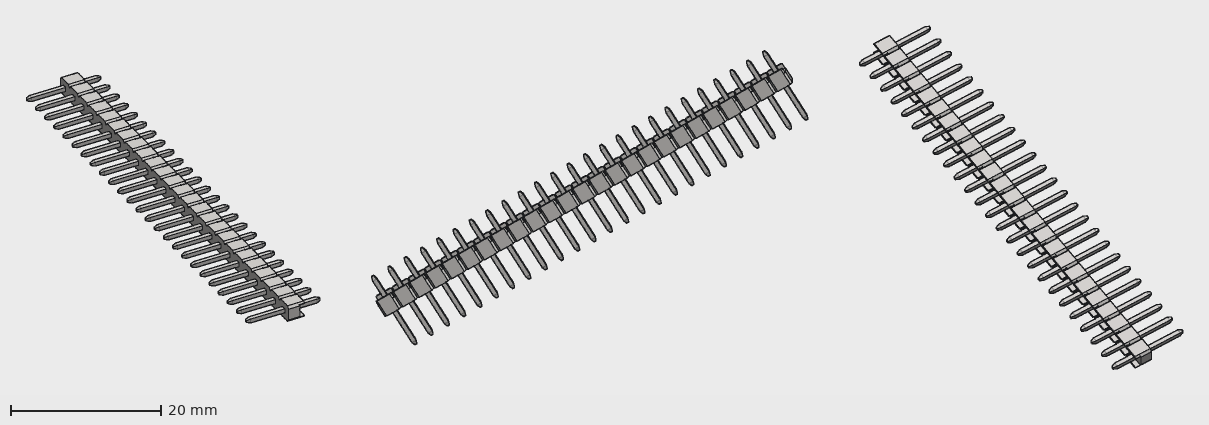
import cadquery as cq

PIN_COUNT = 25
TOTAL_LENGTH = 63.5
PITCH = TOTAL_LENGTH / PIN_COUNT

BODY_HEIGHT = 2.5
BODY_DEPTH = 2.5
CHAMFER_WIDTH = 0.3
CHAMFER_HEIGHT = 0.4

CHANNEL_DEPTH = 0.75
LIP_THICKNESS = 0.285

PIN_WIDTH = 0.65
PIN_TIP_WIDTH = 0.3
PIN_TAPER_LENGTH = 0.54
PIN_OFFSET = -0.1
FRONT_PIN_LENGTH = 5.7
REAR_PIN_LENGTH = 3.0

BODY_REAR = BODY_DEPTH
PIN_FRONT = -FRONT_PIN_LENGTH
PIN_REAR = BODY_REAR + REAR_PIN_LENGTH


def housing_block(x):
    """One pitch of the housing: an eight-sided profile in XZ, extruded along Y."""
    half_width = PITCH / 2
    half_height = BODY_HEIGHT / 2
    flat = half_width - CHAMFER_WIDTH
    side = half_height - CHAMFER_HEIGHT
    profile = [
        (half_width, -side),
        (half_width, side),
        (flat, half_height),
        (-flat, half_height),
        (-half_width, side),
        (-half_width, -side),
        (-flat, -half_height),
        (flat, -half_height),
    ]
    return cq.Workplane("XZ", origin=(x, 0, 0)).polyline(profile).close().extrude(-BODY_DEPTH)


def rear_channel():
    """Channel open at the rear and both ends, leaving a thin lip above and below."""
    channel_height = BODY_HEIGHT - 2 * LIP_THICKNESS
    middle_y = BODY_REAR - CHANNEL_DEPTH / 2
    channel = cq.Workplane("XY").box(TOTAL_LENGTH, CHANNEL_DEPTH, channel_height)
    return channel.translate((0, middle_y, 0))


def pin_taper(x, shoulder_y, direction):
    """Square end of a pin, narrowing from its shoulder to its tip along +Y (1) or -Y (-1)."""
    plane = cq.Plane(origin=(x, shoulder_y, 0), xDir=(1, 0, 0), normal=(0, direction, 0))
    return (
        cq.Workplane(plane)
        .rect(PIN_WIDTH, PIN_WIDTH)
        .workplane(offset=PIN_TAPER_LENGTH)
        .rect(PIN_TIP_WIDTH, PIN_TIP_WIDTH)
        .loft(ruled=True)
    )


def pin(x):
    """Square pin with both ends tapered."""
    front_shoulder = PIN_FRONT + PIN_TAPER_LENGTH
    rear_shoulder = PIN_REAR - PIN_TAPER_LENGTH
    shank_middle = (front_shoulder + rear_shoulder) / 2
    shank = cq.Workplane("XY").box(PIN_WIDTH, rear_shoulder - front_shoulder, PIN_WIDTH)
    shank = shank.translate((x, shank_middle, 0))
    front_taper = pin_taper(x, front_shoulder, -1)
    rear_taper = pin_taper(x, rear_shoulder, 1)
    return shank.union(front_taper).union(rear_taper)


block_positions = [(i - (PIN_COUNT - 1) / 2) * PITCH for i in range(PIN_COUNT)]

result = housing_block(block_positions[0])
for block_x in block_positions[1:]:
    result = result.union(housing_block(block_x))
result = result.cut(rear_channel())

for block_x in block_positions:
    result = result.union(pin(block_x + PIN_OFFSET))